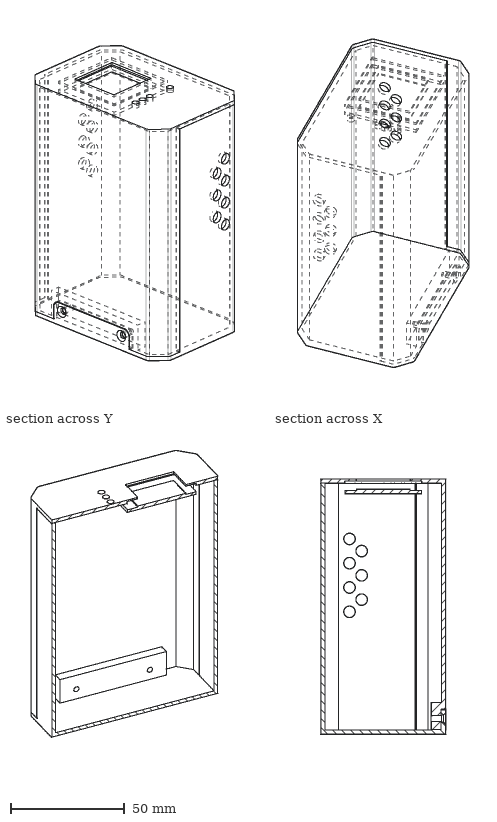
import cadquery as cq
import math

LENGTH = 82.0
WIDTH = 55.2
HEIGHT = 112.5
WALL = 2.0
CORNER_CHAMFER = 7.0
CORNER_ROUNDING = 2.0

SEAM_Y = -14.6
SEAM_GAP = 0.5

TAB_WIDTH = 45.7
TAB_TOP = 10.8
TAB_CORNER_RADIUS = 3.0
TAB_GAP = 0.3
SCREW_SPACING = 36.2
SCREW_Z = 7.0
SCREW_CLEARANCE_DIAMETER = 3.2
COUNTERSINK_DIAMETER = 5.2
COUNTERSINK_ANGLE = 82.0

PAD_THICKNESS = 4.5
PAD_OVERLAP = 3.4
PILOT_DIAMETER = 2.5

VENT_DIAMETER = 5.0
VENT_PITCH = 10.7
VENT_TOP_Z = 86.1
VENT_OUTER_Y = 14.8
OUTER_VENT_COUNT = 4

WINDOW_SIZE = 23.7
WINDOW_X = -13.3
WINDOW_EDGE_THICKNESS = 1.0
INDICATOR_DIAMETER = 3.0
INDICATOR_X = 10.9
INDICATOR_PITCH = 4.5
LOWEST_INDICATOR_Y = -10.9
INDICATOR_COUNT = 3
BUTTON_HOLE_Y = 11.0

SCREEN_DEPTH = 4.5
SCREEN_THICKNESS = 0.6
BOARD_THICKNESS = 1.6
BOARD_MARGIN = 5.1

FRONT_Y = -WIDTH / 2
INNER_FRONT_Y = FRONT_Y + WALL
TOP_PLATE_Z = HEIGHT - WALL
BOARD_SIZE = WINDOW_SIZE + 2 * BOARD_MARGIN


def block(x_range, y_range, z_range):
    """Box between the given limits along each axis."""
    (x0, x1), (y0, y1), (z0, z1) = x_range, y_range, z_range
    return cq.Workplane("XY").box(x1 - x0, y1 - y0, z1 - z0, centered=False).translate((x0, y0, z0))


def cylinder_along_y(diameter, x, z, y0, y1):
    """Cylinder parallel to Y between y0 and y1."""
    return cq.Workplane("XZ", origin=(x, y0, z)).circle(diameter / 2).extrude(-(y1 - y0))


def enclosure_prism(inset, z0, z1):
    """Upright prism with the enclosure outline moved inwards by inset."""
    chamfer = CORNER_CHAMFER - inset * (2 - math.sqrt(2))
    prism = (
        cq.Workplane("XY", origin=(0, 0, z0))
        .rect(LENGTH - 2 * inset, WIDTH - 2 * inset)
        .extrude(z1 - z0)
        .edges("|Z")
        .chamfer(chamfer)
    )
    rounding = CORNER_ROUNDING - inset
    if rounding > 0:
        prism = prism.edges("|Z").fillet(rounding)
    return prism


def side_walls(y0, y1):
    """The part of the wall ring between y0 and y1, from floor plate to top plate."""
    ring = enclosure_prism(0, WALL, TOP_PLATE_Z).cut(enclosure_prism(WALL, WALL, TOP_PLATE_Z))
    return ring.intersect(block((-LENGTH, LENGTH), (y0, y1), (0, HEIGHT)))


def tab_shape(growth):
    """Tab on the floor plate, as thick as the front wall, enlarged by growth at its sides and top."""
    half_width = TAB_WIDTH / 2 + growth
    tab = block((-half_width, half_width), (FRONT_Y, INNER_FRONT_Y), (WALL, TAB_TOP + growth))
    return tab.edges("|Y and >Z").fillet(TAB_CORNER_RADIUS + growth)


def screw_positions():
    return (-SCREW_SPACING / 2, SCREW_SPACING / 2)


def make_cover():
    """Front wall and top plate, with notch, screw pad, display window and indicator holes."""
    cover = side_walls(FRONT_Y, SEAM_Y)
    cover = cover.union(enclosure_prism(0, TOP_PLATE_Z, HEIGHT))

    pad_half_width = TAB_WIDTH / 2 + PAD_OVERLAP
    pad_back_y = INNER_FRONT_Y + PAD_THICKNESS
    pad = block(
        (-pad_half_width, pad_half_width),
        (INNER_FRONT_Y, pad_back_y),
        (WALL, TAB_TOP + PAD_OVERLAP),
    )
    cover = cover.union(pad).cut(tab_shape(TAB_GAP))
    for x in screw_positions():
        cover = cover.cut(cylinder_along_y(PILOT_DIAMETER, x, SCREW_Z, INNER_FRONT_Y, pad_back_y))

    plate_underside = cq.Workplane("XY", origin=(WINDOW_X, 0, TOP_PLATE_Z))
    window = plate_underside.rect(WINDOW_SIZE, WINDOW_SIZE).extrude(WALL)
    thinning = plate_underside.rect(BOARD_SIZE, BOARD_SIZE).extrude(WALL - WINDOW_EDGE_THICKNESS)
    cover = cover.cut(window).cut(thinning)

    hole_ys = [LOWEST_INDICATOR_Y + i * INDICATOR_PITCH for i in range(INDICATOR_COUNT)] + [BUTTON_HOLE_Y]
    holes = (
        cq.Workplane("XY", origin=(0, 0, TOP_PLATE_Z))
        .pushPoints([(INDICATOR_X, y) for y in hole_ys])
        .circle(INDICATOR_DIAMETER / 2)
        .extrude(WALL)
    )
    return cover.cut(holes)


def vent_positions():
    """(y, z) of every vent; the second column sits half a pitch in and half a pitch down."""
    outer = [(VENT_OUTER_Y, VENT_TOP_Z - i * VENT_PITCH) for i in range(OUTER_VENT_COUNT)]
    inner = [(y - VENT_PITCH / 2, z - VENT_PITCH / 2) for y, z in outer[:-1]]
    return outer + inner


def make_base():
    """Rear wall and floor plate, with the countersunk screw tab and the vents."""
    base = side_walls(SEAM_Y + SEAM_GAP, WIDTH / 2)
    base = base.union(enclosure_prism(0, 0, WALL))
    base = base.union(tab_shape(0))

    base = (
        base.faces("<Y")
        .workplane(origin=(0, FRONT_Y, 0))
        .pushPoints([(x, SCREW_Z) for x in screw_positions()])
        .cskHole(SCREW_CLEARANCE_DIAMETER, COUNTERSINK_DIAMETER, COUNTERSINK_ANGLE, depth=WALL)
    )

    vents = (
        cq.Workplane("YZ", origin=(-LENGTH / 2, 0, 0))
        .pushPoints(vent_positions())
        .circle(VENT_DIAMETER / 2)
        .extrude(LENGTH)
    )
    return base.cut(vents)


def make_display():
    """Board centred under the window, with a raised screen as large as the window."""
    board_top_z = HEIGHT - SCREEN_DEPTH - SCREEN_THICKNESS
    top = cq.Workplane("XY", origin=(WINDOW_X, 0, board_top_z))
    board = top.rect(BOARD_SIZE, BOARD_SIZE).extrude(-BOARD_THICKNESS)
    screen = top.rect(WINDOW_SIZE, WINDOW_SIZE).extrude(SCREEN_THICKNESS)
    return board.union(screen)


cover = make_cover()
base = make_base()
display = make_display()

result = cq.Compound.makeCompound([cover.val(), base.val(), display.val()])